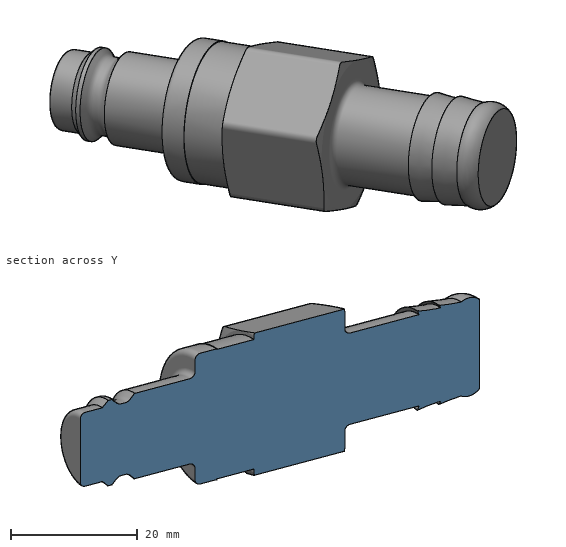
import cadquery as cq
import math

LENGTH = 74.4

NOSE_RADIUS = 13.0 / 2
NOSE_ROUND = 1.0
PLUG_RADIUS = 15.0 / 2
GROOVE_RADIUS = 12.65 / 2
GROOVE_ROUND = 1.3
RIDGE_START = 4.1
RIDGE_TOP_START = 5.2
RIDGE_TOP_END = 5.95
GROOVE_END = 10.1

COLLAR_START = 21.35
COLLAR_END = 25.45
COLLAR_RADIUS = 23.0 / 2
COLLAR_ROUND = 1.05
BODY_RADIUS = 22.8 / 2
NECK_ROUND = 0.93

HEX_START = 32.3
HEX_END = 49.3
HEX_ACROSS_FLATS = 23.95
HEX_CORNER_ROUND = 1.2
HEX_TURN = 16.2
HEX_BEVEL_DEPTH = 0.5

TAIL_RADIUS = 16.1 / 2
BARB_STARTS = (62.8, 66.8)
BARB_ENDS = (66.4, 70.9)
BARB_RADIUS = 8.7
BARB_LOW_RADIUS = 8.25
BARB_FACE_LEAN = 0.2
BEAD_CREST = 72.6
BEAD_CREST_RADIUS = 8.6
BEAD_END_RADIUS = 7.8

DIAGONAL = math.sqrt(0.5)


def turned_body():
    """Revolve the stepped profile of everything except the hexagon."""
    blend_run = GROOVE_ROUND * DIAGONAL
    blend_rise = GROOVE_ROUND * (1 - DIAGONAL)
    wall_foot = GROOVE_RADIUS + blend_rise
    wall_run = PLUG_RADIUS - wall_foot
    left_foot = RIDGE_TOP_END + wall_run
    right_foot = GROOVE_END - wall_run

    profile = (
        cq.Workplane("XY")
        .lineTo(0, NOSE_RADIUS - NOSE_ROUND)
        .radiusArc((NOSE_ROUND, NOSE_RADIUS), NOSE_ROUND)
        .lineTo(RIDGE_START, NOSE_RADIUS)
        .lineTo(RIDGE_TOP_START, PLUG_RADIUS)
        .lineTo(RIDGE_TOP_END, PLUG_RADIUS)
        .lineTo(left_foot, wall_foot)
        .radiusArc((left_foot + blend_run, GROOVE_RADIUS), -GROOVE_ROUND)
        .lineTo(right_foot - blend_run, GROOVE_RADIUS)
        .radiusArc((right_foot, wall_foot), -GROOVE_ROUND)
        .lineTo(GROOVE_END, PLUG_RADIUS)
        .lineTo(COLLAR_START - NECK_ROUND, PLUG_RADIUS)
        .radiusArc((COLLAR_START, PLUG_RADIUS + NECK_ROUND), -NECK_ROUND)
        .lineTo(COLLAR_START, COLLAR_RADIUS - COLLAR_ROUND)
        .radiusArc((COLLAR_START + COLLAR_ROUND, COLLAR_RADIUS), COLLAR_ROUND)
        .lineTo(COLLAR_END, COLLAR_RADIUS)
        .lineTo(COLLAR_END, BODY_RADIUS)
        .lineTo(HEX_END, BODY_RADIUS)
        .lineTo(HEX_END, TAIL_RADIUS + NECK_ROUND)
        .radiusArc((HEX_END + NECK_ROUND, TAIL_RADIUS), -NECK_ROUND)
    )
    previous_radius = TAIL_RADIUS
    for start, end in zip(BARB_STARTS, BARB_ENDS):
        profile = (
            profile.lineTo(start + BARB_FACE_LEAN, previous_radius)
            .lineTo(start, BARB_RADIUS)
            .lineTo(end, BARB_LOW_RADIUS)
        )
        previous_radius = BARB_LOW_RADIUS
    return (
        profile.threePointArc((BEAD_CREST, BEAD_CREST_RADIUS), (LENGTH, BEAD_END_RADIUS))
        .lineTo(LENGTH, 0)
        .close()
        .revolve(360, (0, 0, 0), (1, 0, 0))
    )


def hexagon():
    """Hexagonal section with rounded corners and both ends bevelled."""
    flat_radius = HEX_ACROSS_FLATS / 2
    corner_radius = flat_radius / math.cos(math.pi / 6)
    prism = (
        cq.Workplane("YZ", origin=(HEX_START, 0, 0))
        .polygon(6, 2 * corner_radius)
        .extrude(HEX_END - HEX_START)
        .edges("|X")
        .fillet(HEX_CORNER_ROUND)
        .rotate((0, 0, 0), (1, 0, 0), -HEX_TURN)
    )
    bevelled_blank = (
        cq.Workplane("XY")
        .moveTo(HEX_START, 0)
        .lineTo(HEX_START, flat_radius)
        .lineTo(HEX_START + HEX_BEVEL_DEPTH, corner_radius)
        .lineTo(HEX_END - HEX_BEVEL_DEPTH, corner_radius)
        .lineTo(HEX_END, flat_radius)
        .lineTo(HEX_END, 0)
        .close()
        .revolve(360, (0, 0, 0), (1, 0, 0))
    )
    return prism.intersect(bevelled_blank)


result = turned_body().union(hexagon())